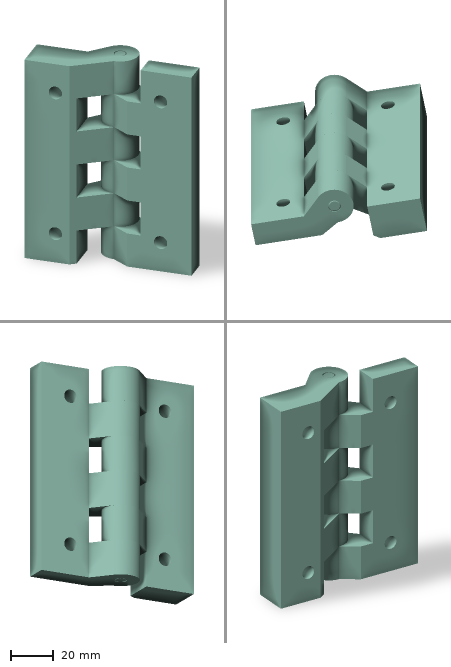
import cadquery as cq
import math

HEIGHT = 102.0
WIDTH = 80.0
BARREL_RADIUS = 9.0
BACK_Y = -3.0
THICK_FRONT_Y = -21.0
THIN_FRONT_Y = -14.6
THICK_FRONT_CORNER = 18.0
THIN_FRONT_CORNER = 8.4
PLATE_START = 15.0

KNUCKLE_COUNT = 6
KNUCKLE_HEIGHT = HEIGHT / KNUCKLE_COUNT

PIN_DIAMETER = 6.0
PIN_CHAMFER = 0.5

SCREW_DIAMETER = 6.5
SCREW_X = 24.8
SCREW_Z = 36.2


def barrel_tangent_point():
    """Point where a line from the back corner of the +X leaf touches the barrel."""
    corner_distance = math.hypot(PLATE_START, BACK_Y)
    corner_angle = math.atan2(BACK_Y, PLATE_START)
    angle = corner_angle + math.acos(BARREL_RADIUS / corner_distance)
    return BARREL_RADIUS * math.cos(angle), BARREL_RADIUS * math.sin(angle)


def make_leaf(side, front_y, front_corner, first_gap):
    """Leaf on the given side (+1 or -1), with every second knuckle removed.

    first_gap is the index, counted from the bottom, of the lowest removed knuckle.
    """
    edge_x = side * WIDTH / 2
    plate_x = side * PLATE_START
    tangent_x, tangent_y = barrel_tangent_point()

    leaf = (
        cq.Workplane("XY", origin=(0, 0, -HEIGHT / 2))
        .moveTo(edge_x, BACK_Y)
        .lineTo(plate_x, BACK_Y)
        .lineTo(side * tangent_x, tangent_y)
        .threePointArc((-side * BARREL_RADIUS, 0), (0, -BARREL_RADIUS))
        .lineTo(side * front_corner, front_y)
        .lineTo(edge_x, front_y)
        .close()
        .extrude(HEIGHT)
    )

    gap_length = PLATE_START + BARREL_RADIUS
    gap_depth = BARREL_RADIUS - front_y
    for index in range(first_gap, KNUCKLE_COUNT, 2):
        gap_z = (index + 0.5) * KNUCKLE_HEIGHT - HEIGHT / 2
        gap = cq.Workplane("XY").box(gap_length, gap_depth, KNUCKLE_HEIGHT)
        gap_x = side * (PLATE_START - BARREL_RADIUS) / 2
        gap_y = (BARREL_RADIUS + front_y) / 2
        leaf = leaf.cut(gap.translate((gap_x, gap_y, gap_z)))

    screw_holes = (
        cq.Workplane("XZ", origin=(side * SCREW_X, BACK_Y, 0))
        .pushPoints([(0, -SCREW_Z), (0, SCREW_Z)])
        .circle(SCREW_DIAMETER / 2)
        .extrude(BACK_Y - front_y)
    )

    pin_hole = (
        cq.Workplane("XY", origin=(0, 0, -HEIGHT / 2))
        .circle(PIN_DIAMETER / 2)
        .extrude(HEIGHT)
    )
    return leaf.cut(screw_holes).cut(pin_hole)


def make_pin():
    """Full-height hinge pin with chamfered ends."""
    return (
        cq.Workplane("XY", origin=(0, 0, -HEIGHT / 2))
        .circle(PIN_DIAMETER / 2)
        .extrude(HEIGHT)
        .faces("<Z or >Z")
        .chamfer(PIN_CHAMFER)
    )


thick_leaf = make_leaf(-1, THICK_FRONT_Y, THICK_FRONT_CORNER, first_gap=0)
thin_leaf = make_leaf(1, THIN_FRONT_Y, THIN_FRONT_CORNER, first_gap=1)
pin = make_pin()

result = cq.Compound.makeCompound([thick_leaf.val(), thin_leaf.val(), pin.val()])